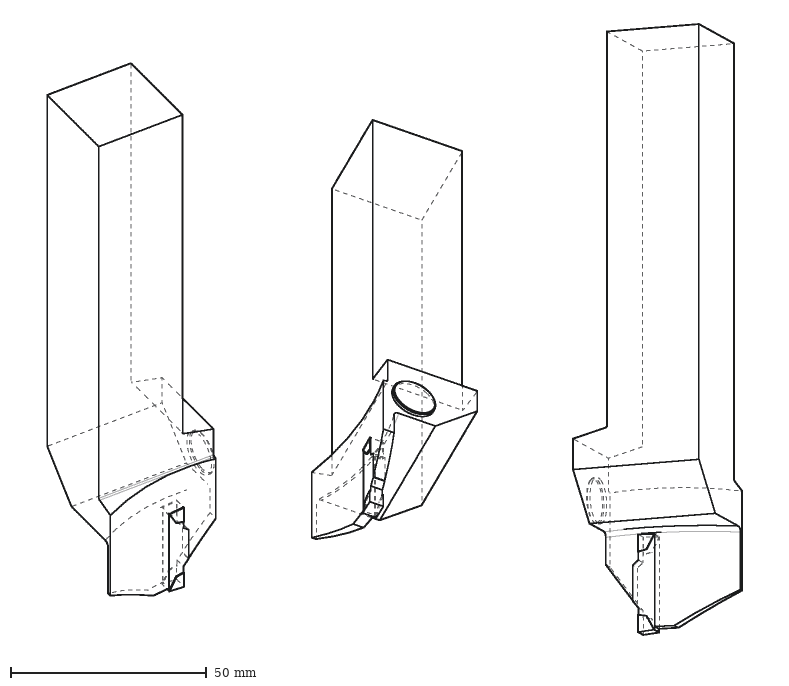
import cadquery as cq

total_height = 152.4
shank_side = 25.1
head_width = 30.8
head_depth = 34.5

head_bottom = 27.0
corner_chamfer = 11.7
side_step_top = 38.3
side_step_drop = 1.5
back_step_top = 49.0
back_step_drop = 2.3
shoulder_fillet = 0.5

blade_left = 22.4
blade_right = 25.6
blade_front_left = 29.5
blade_bottom = 1.2
blade_bottom_front = 15.7
front_bevel_top = 10.7
back_bevel_top = 18.6
root_fillet = 1.2

boss_diameter = 11.9
boss_height = 1.0
boss_chamfer = 0.3
boss_x = 18.0
boss_z = 34.3

insert_length = 25.6
insert_seat = 20.7
insert_ridge = 26.7
end_relief = 0.3
ridge_foot = 6.4
ridge_start = 8.2
ridge_end = 17.7
ridge_end_foot = 18.9
tip_overhang = 0.3
tip_length = 4.5
tip_slope_length = 4.1
tip_slope_depth = 2.3
tip_neck_length = 1.4
tip_neck_depth = 3.8


def arc_radius(half_chord, rise):
    """Radius of an arc that rises by `rise` over half of its chord."""
    return (half_chord**2 + rise**2) / (2 * rise)


def extrude_side(points, x_start, x_end):
    """Extrude a (Y, Z) outline along X."""
    outline = cq.Workplane("YZ", origin=(x_start, 0, 0)).polyline(points).close()
    return outline.extrude(x_end - x_start)


def blade_cylinder(leftmost_x, radius, height):
    """Upright cylinder whose leftmost line lies level with the cutting edge."""
    return cq.Workplane("XY").center(leftmost_x + radius, shank_side).circle(radius).extrude(height)


def insert_outline():
    """(Y, Z) outline of the insert, shared with its slot."""
    return [
        (insert_seat, end_relief),
        (shank_side, 0),
        (shank_side, ridge_foot),
        (insert_ridge, ridge_start),
        (insert_ridge, ridge_end),
        (shank_side, ridge_end_foot),
        (shank_side, insert_length),
        (insert_seat, insert_length - end_relief),
    ]


def make_insert():
    body = extrude_side(insert_outline(), blade_left, blade_right)
    lower_tip = extrude_side(
        [
            (shank_side, 0),
            (shank_side, tip_length),
            (shank_side - tip_slope_depth, tip_slope_length),
            (shank_side - tip_neck_depth, tip_neck_length),
            (insert_seat, end_relief),
        ],
        blade_left - tip_overhang,
        blade_right + tip_overhang,
    )
    insert_middle = (0, 0, insert_length / 2)
    upper_tip = lower_tip.mirror("XY", insert_middle)
    return body.union(lower_tip).union(upper_tip)


def edge_near(x, y, z):
    """Selector for the edge whose middle is nearest to a point."""
    return cq.selectors.NearestToPointSelector((x, y, z))


def make_holder():
    upper = (
        cq.Workplane("XZ")
        .polyline([
            (0, total_height),
            (shank_side, total_height),
            (shank_side, side_step_top),
            (head_width, side_step_top - side_step_drop),
            (head_width, head_bottom),
            (corner_chamfer, head_bottom),
            (0, head_bottom + corner_chamfer),
        ])
        .close()
        .extrude(-head_depth)
        .edges(edge_near(shank_side, head_depth / 2, side_step_top))
        .fillet(shoulder_fillet)
    )

    inner_radius = arc_radius(shank_side, blade_front_left - blade_left)
    blade = blade_cylinder(blade_left, inner_radius, head_bottom).intersect(
        cq.Workplane("XY").box(head_width, head_depth, head_bottom, centered=False)
    )
    holder = upper.union(blade)
    root_edge = cq.selectors.BoxSelector(
        (blade_left - root_fillet, 0, head_bottom - root_fillet),
        (blade_front_left, head_depth, head_bottom + root_fillet),
    )
    holder = holder.edges(root_edge).edges("%CIRCLE").fillet(root_fillet)

    outer_radius = arc_radius(shank_side, head_width - blade_right)
    holder = holder.cut(blade_cylinder(blade_right, outer_radius, back_step_top))

    bevel_slope = (back_bevel_top - ridge_foot) / (head_depth - shank_side)
    bevel_foot = shank_side - (ridge_foot - blade_bottom) / bevel_slope
    holder = holder.intersect(extrude_side(
        [
            (0, total_height),
            (0, front_bevel_top),
            (blade_bottom_front, blade_bottom),
            (bevel_foot, blade_bottom),
            (head_depth, back_bevel_top),
            (head_depth, back_step_top - back_step_drop),
            (shank_side, back_step_top),
            (shank_side, total_height),
        ],
        0,
        head_width,
    ))

    holder = holder.edges(edge_near(shank_side / 2, shank_side, back_step_top)).fillet(shoulder_fillet)

    boss = (
        cq.Workplane("XZ", origin=(boss_x, head_depth, boss_z))
        .circle(boss_diameter / 2)
        .extrude(-boss_height)
        .faces(">Y")
        .chamfer(boss_chamfer)
    )
    insert_slot = extrude_side(insert_outline(), 0, head_width)
    return holder.union(boss).cut(insert_slot)


holder = make_holder()
insert = make_insert()

result = cq.Compound.makeCompound([holder.val(), insert.val()])